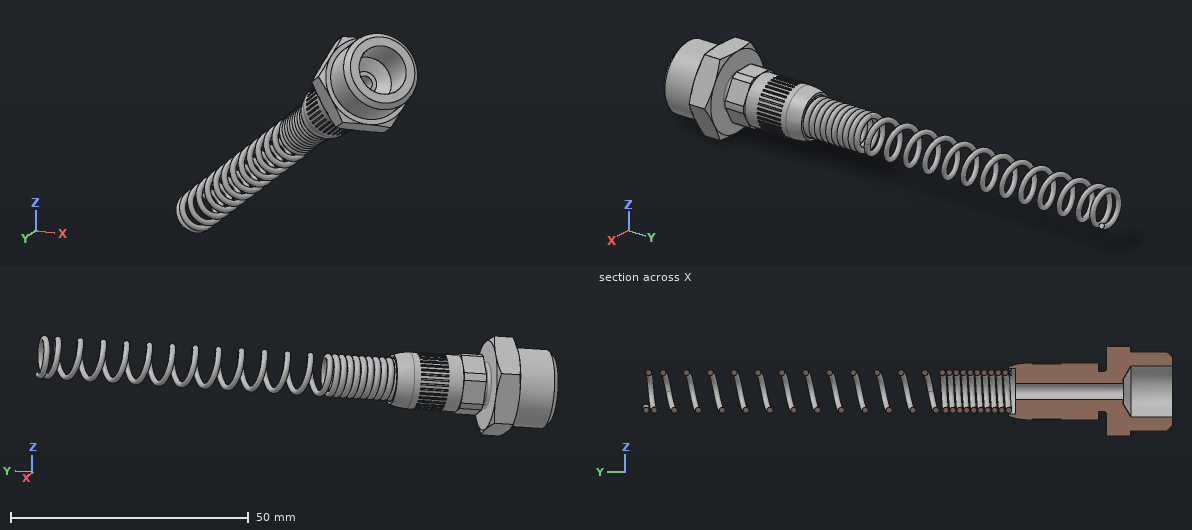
import cadquery as cq
import math

total_length = 111.5

spigot_diameter = 16.7
spigot_length = 8.8
spigot_chamfer = 1.1

hex_across_flats = 19.0
hex_length = 5.1
hex_bevel_angle = 20.0

neck_diameter = 8.5
neck_length = 1.6
neck_fillet = 0.7

nut_diameter = 12.0
nut_hex_corner_diameter = 13.0
nut_hex_length = 4.8
collar_length = 3.2
knurl_length = 5.9
rear_collar_length = 1.6
nose_length = 3.6
nose_diameter = 10.6
groove_count = 36
groove_width = 0.3
groove_depth = 0.2

bore_diameter = 10.6
bore_depth = spigot_length
bore_cone_end_diameter = 5.1
bore_cone_angle = 60.0
passage_diameter = 3.2

wire_diameter = 1.3
spring_outer_diameter = 9.3
closed_gap = 0.13
closed_pitch = wire_diameter + closed_gap
open_pitch = 5.0
end_pitch = 0.1
closed_turns = 10
opening_turns = 0.75
open_turns = 11
closing_turns = 1.85
coil_start_angle = math.radians(90)
points_per_turn = 16
socket_clearance = 0.1

hex_end = spigot_length + hex_length
nut_start = hex_end + neck_length
collar_start = nut_start + nut_hex_length
knurl_start = collar_start + collar_length
knurl_end = knurl_start + knurl_length
nose_start = knurl_end + rear_collar_length
nose_end = nose_start + nose_length

wire_radius = wire_diameter / 2
coil_radius = spring_outer_diameter / 2 - wire_radius

coil_stretches = (
    (closed_turns, closed_pitch, closed_pitch),
    (opening_turns, closed_pitch, open_pitch),
    (open_turns, open_pitch, open_pitch),
    (closing_turns, open_pitch, end_pitch),
)

coil_rise = sum(turns * (first + last) / 2 for turns, first, last in coil_stretches)
coil_start = total_length - wire_radius - coil_rise
socket_floor = coil_start - wire_radius


def cylinder(y, diameter, length):
    """Cylinder on the Y axis from y to y + length."""
    return cq.Workplane("XZ", origin=(0, y, 0)).circle(diameter / 2).extrude(-length)


def hexagon(y, across_flats, length):
    """Hexagonal prism on the Y axis with its corners on the X axis."""
    corner_diameter = across_flats / math.cos(math.radians(30))
    return cq.Workplane("XZ", origin=(0, y, 0)).polygon(6, corner_diameter).extrude(-length)


def revolved(outline):
    """Turn an outline drawn as (radius, y) about the Y axis."""
    return outline.close().revolve(360, (0, 0, 0), (0, 1, 0))


def make_spigot():
    spigot = cylinder(0, spigot_diameter, spigot_length)
    return spigot.faces("<Y").chamfer(spigot_chamfer)


def make_large_hexagon():
    """Hexagon whose corners are beveled at both ends by a cone touching the flats."""
    flat_radius = hex_across_flats / 2
    corner_radius = flat_radius / math.cos(math.radians(30))
    bevel = (corner_radius - flat_radius) * math.tan(math.radians(hex_bevel_angle))
    beveled_blank = revolved(
        cq.Workplane("XY")
        .moveTo(0, spigot_length)
        .lineTo(flat_radius, spigot_length)
        .lineTo(corner_radius, spigot_length + bevel)
        .lineTo(corner_radius, hex_end - bevel)
        .lineTo(flat_radius, hex_end)
        .lineTo(0, hex_end)
    )
    return hexagon(spigot_length, hex_across_flats, hex_length).intersect(beveled_blank)


def make_neck():
    neck_radius = neck_diameter / 2
    return revolved(
        cq.Workplane("XY")
        .moveTo(0, hex_end)
        .lineTo(neck_radius + neck_fillet, hex_end)
        .radiusArc((neck_radius, hex_end + neck_fillet), neck_fillet)
        .lineTo(neck_radius, nut_start)
        .lineTo(0, nut_start)
    )


def make_nut():
    corner_blank = cylinder(nut_start, nut_hex_corner_diameter, nut_hex_length)
    nut_hexagon = hexagon(nut_start, nut_diameter, nut_hex_length).intersect(corner_blank)

    nut_radius = nut_diameter / 2
    nose_radius = nose_diameter / 2
    collar = revolved(
        cq.Workplane("XY")
        .moveTo(0, collar_start)
        .lineTo(nut_radius, collar_start)
        .lineTo(nut_radius, nose_start)
        .tangentArcPoint((nose_radius, nose_end), relative=False)
        .lineTo(0, nose_end)
    )
    return nut_hexagon.union(collar.cut(make_knurl_grooves()))


def make_knurl_grooves():
    """Ring of straight grooves cut into the collar."""
    return (
        cq.Workplane("XZ", origin=(0, knurl_start, 0))
        .polarArray(nut_diameter / 2, 0, 360, groove_count)
        .rect(2 * groove_depth, groove_width)
        .extrude(-knurl_length)
    )


def make_bore():
    """Wide front bore with a conical bottom that leads into a narrow passage."""
    bore_radius = bore_diameter / 2
    cone_end_radius = bore_cone_end_diameter / 2
    passage_radius = passage_diameter / 2
    cone_length = (bore_radius - cone_end_radius) / math.tan(math.radians(bore_cone_angle))
    return revolved(
        cq.Workplane("XY")
        .lineTo(bore_radius, 0)
        .lineTo(bore_radius, bore_depth)
        .lineTo(cone_end_radius, bore_depth + cone_length)
        .lineTo(passage_radius, bore_depth + cone_length)
        .lineTo(passage_radius, nose_end)
        .lineTo(0, nose_end)
    )


def make_spring_socket():
    socket_diameter = spring_outer_diameter + 2 * socket_clearance
    return cylinder(socket_floor, socket_diameter, nose_end - socket_floor)


def make_fitting():
    solid_fitting = make_spigot().union(make_large_hexagon()).union(make_neck()).union(make_nut())
    return solid_fitting.cut(make_bore()).cut(make_spring_socket())


def coil_advance(angle, pitch):
    """Advance per turn along the wire; the coil winds from +X towards +Z as it rises."""
    turn_length = 2 * math.pi * coil_radius
    return cq.Vector(-turn_length * math.sin(angle), pitch, turn_length * math.cos(angle))


def coil_stretch(start_angle, start_height, turns, first_pitch, last_pitch):
    """Curve of the wire's centre over a number of turns, its pitch changing evenly."""
    step_count = math.ceil(turns * points_per_turn)
    wound_turns = [turns * step / step_count for step in range(step_count + 1)]
    points = []
    for wound in wound_turns:
        angle = start_angle + 2 * math.pi * wound
        height = start_height + first_pitch * wound + (last_pitch - first_pitch) * wound**2 / (2 * turns)
        points.append(cq.Vector(coil_radius * math.cos(angle), height, coil_radius * math.sin(angle)))
    end_advances = [coil_advance(start_angle, first_pitch), coil_advance(angle, last_pitch)]
    return cq.Edge.makeSpline(points, tangents=end_advances, parameters=wound_turns, scale=False)


def make_coil_path():
    """Wire's centre line, from the closed turns in the socket to the free end."""
    angle = coil_start_angle
    height = coil_start
    edges = []
    for turns, first_pitch, last_pitch in coil_stretches:
        edges.append(coil_stretch(angle, height, turns, first_pitch, last_pitch))
        angle += 2 * math.pi * turns
        height += turns * (first_pitch + last_pitch) / 2
    return cq.Wire.assembleEdges(edges)


def make_spring():
    """Round wire swept along the coil, its free end almost level."""
    path = make_coil_path()
    start = path.startPoint()
    outward = cq.Vector(start.x, 0, start.z)
    start_direction = coil_advance(coil_start_angle, closed_pitch)
    wire_section = cq.Workplane(cq.Plane(origin=start, xDir=outward, normal=start_direction))
    return wire_section.circle(wire_radius).sweep(cq.Workplane(path), isFrenet=True)


fitting = make_fitting()
spring = make_spring()
result = cq.Compound.makeCompound([fitting.val(), spring.val()])